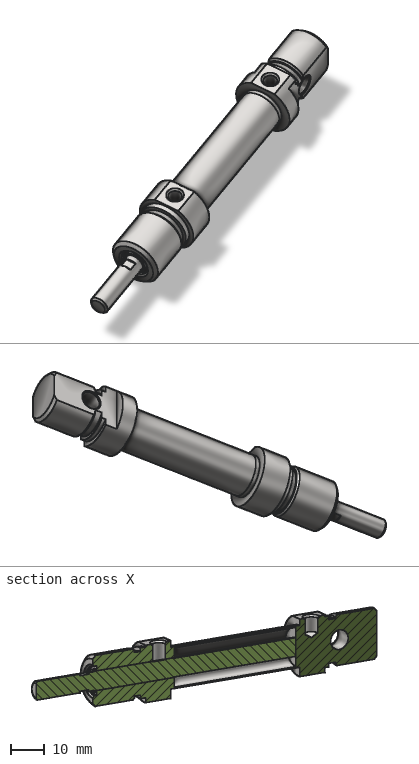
import cadquery as cq


total_length = 119.0
nose_face_y = 19.8
nose_end_y = 34.5
front_shoulder_y = 36.4
front_head_y = 38.2
head_length = 8.9
rear_head_y = 92.0
collar_length = 1.3
rear_shoulder_length = 1.3
rear_groove_length = 2.3

head_diameter = 18.9
cap_diameter = 16.0
groove_diameter = 13.7
tube_diameter = 13.2
tube_bore = 12.0
groove_edge_chamfer = 0.6
rear_end_chamfer = 1.0
nose_chamfer = 1.1

head_height = 18.0
port_diameter = 4.2
port_mouth_diameter = 5.4
port_offset = 4.2
rear_port_floor_z = 3.3
drill_tip_height = 1.2

tongue_width = 12.0
tongue_step_y = 97.0
pivot_diameter = 6.0
pivot_mouth_diameter = 6.5
pivot_y = 105.9

rod_diameter = 6.0
rod_tip_chamfer = 0.6
flat_width_across = 5.0
flat_length = 2.9
flat_start_y = 15.5

recess_mouth_diameter = 10.2
recess_diameter = 9.0
recess_depth = 1.4
lip_diameter = 7.1
lip_setback = 0.5

head_flat_z = head_height - head_diameter / 2
front_head_end_y = front_head_y + head_length
tube_start_y = front_head_end_y + collar_length
tube_end_y = rear_head_y - collar_length
rear_head_end_y = rear_head_y + head_length
rear_shoulder_y = rear_head_end_y + rear_shoulder_length
tongue_start_y = rear_shoulder_y + rear_groove_length


def cylinder(diameter, start_y, end_y):
    """Cylinder on the Y axis between two stations."""
    disc = cq.Workplane("XZ", origin=(0, start_y, 0)).circle(diameter / 2)
    return disc.extrude(start_y - end_y)


def head(start_y):
    """Round head with the flat on top that carries the port."""
    body = cylinder(head_diameter, start_y, start_y + head_length)
    above_flat = cq.Workplane("XY").box(
        head_diameter, head_length, head_diameter, centered=(True, False, False)
    ).translate((0, start_y, head_flat_z))
    return body.cut(above_flat)


def port(center_y, floor_z):
    """Vertical port with a countersunk mouth, reaching down to floor_z."""
    bore = (
        cq.Workplane("XY", origin=(0, center_y, floor_z))
        .circle(port_diameter / 2)
        .extrude(head_flat_z - floor_z)
    )
    mouth_depth = (port_mouth_diameter - port_diameter) / 2
    mouth = cq.Solid.makeCone(
        port_mouth_diameter / 2, port_diameter / 2, mouth_depth,
        pnt=cq.Vector(0, center_y, head_flat_z), dir=cq.Vector(0, 0, -1),
    )
    return bore.union(cq.Workplane(mouth))


def make_front_cap():
    nose = cylinder(cap_diameter, nose_face_y, nose_end_y)
    nose = nose.faces("<Y").chamfer(nose_chamfer).faces(">Y").chamfer(groove_edge_chamfer)
    cap = nose.union(cylinder(groove_diameter, nose_end_y, front_shoulder_y))
    cap = cap.union(cylinder(cap_diameter, front_shoulder_y, front_head_y))
    cap = cap.union(head(front_head_y))
    cap = cap.union(cylinder(tube_diameter, front_head_end_y, tube_start_y))

    mouth_depth = (recess_mouth_diameter - recess_diameter) / 2
    recess = cylinder(recess_diameter, nose_face_y, nose_face_y + recess_depth)
    mouth = cq.Solid.makeCone(
        recess_mouth_diameter / 2, recess_diameter / 2, mouth_depth,
        pnt=cq.Vector(0, nose_face_y, 0), dir=cq.Vector(0, 1, 0),
    )
    lip = cylinder(lip_diameter, nose_face_y + lip_setback, nose_face_y + recess_depth)
    cap = cap.cut(recess.union(cq.Workplane(mouth)).cut(lip))

    cap = cap.cut(port(front_head_end_y - port_offset, 0))
    return cap.cut(cylinder(rod_diameter, nose_face_y, tube_start_y))


def make_tube():
    tube = cylinder(tube_diameter, tube_start_y, tube_end_y)
    return tube.cut(cylinder(tube_bore, tube_start_y, tube_end_y))


def make_rear_cap():
    tongue = cylinder(cap_diameter, tongue_start_y, total_length)
    tongue = tongue.faces("<Y").chamfer(groove_edge_chamfer).faces(">Y").chamfer(rear_end_chamfer)
    cap = tongue.union(cylinder(groove_diameter, rear_shoulder_y, tongue_start_y))
    cap = cap.union(cylinder(cap_diameter, rear_head_end_y, rear_shoulder_y))
    cap = cap.union(head(rear_head_y))
    cap = cap.union(cylinder(tube_diameter, tube_end_y, rear_head_y))

    for side in (-1, 1):
        side_cut = cq.Workplane("XY").box(
            head_diameter, total_length - tongue_step_y, 2 * head_diameter, centered=(True, False, True)
        )
        offset_x = side * (tongue_width + head_diameter) / 2
        cap = cap.cut(side_cut.translate((offset_x, tongue_step_y, 0)))

    pivot_hole = cq.Workplane("YZ", origin=(0, pivot_y, 0)).circle(pivot_diameter / 2)
    cap = cap.cut(pivot_hole.extrude(tongue_width / 2, both=True))
    pivot_chamfer = (pivot_mouth_diameter - pivot_diameter) / 2
    for side in (-1, 1):
        mouth = cq.Solid.makeCone(
            pivot_mouth_diameter / 2, pivot_diameter / 2, pivot_chamfer,
            pnt=cq.Vector(side * tongue_width / 2, pivot_y, 0), dir=cq.Vector(-side, 0, 0),
        )
        cap = cap.cut(cq.Workplane(mouth))

    port_y = rear_head_y + port_offset
    drill_tip = cq.Solid.makeCone(
        port_diameter / 2, 0, drill_tip_height,
        pnt=cq.Vector(0, port_y, rear_port_floor_z), dir=cq.Vector(0, 0, -1),
    )
    return cap.cut(port(port_y, rear_port_floor_z)).cut(cq.Workplane(drill_tip))


def make_rod():
    rod = cylinder(rod_diameter, 0, tube_end_y).faces("<Y").chamfer(rod_tip_chamfer)
    for side in (-1, 1):
        flat_cut = cq.Workplane("XY").box(
            rod_diameter, flat_length, rod_diameter, centered=(True, False, True)
        )
        offset_z = side * (flat_width_across + rod_diameter) / 2
        rod = rod.cut(flat_cut.translate((0, flat_start_y, offset_z)))
    return rod


front_cap = make_front_cap()
tube = make_tube()
rear_cap = make_rear_cap()
rod = make_rod()

result = cq.Compound.makeCompound([front_cap.val(), tube.val(), rear_cap.val(), rod.val()])